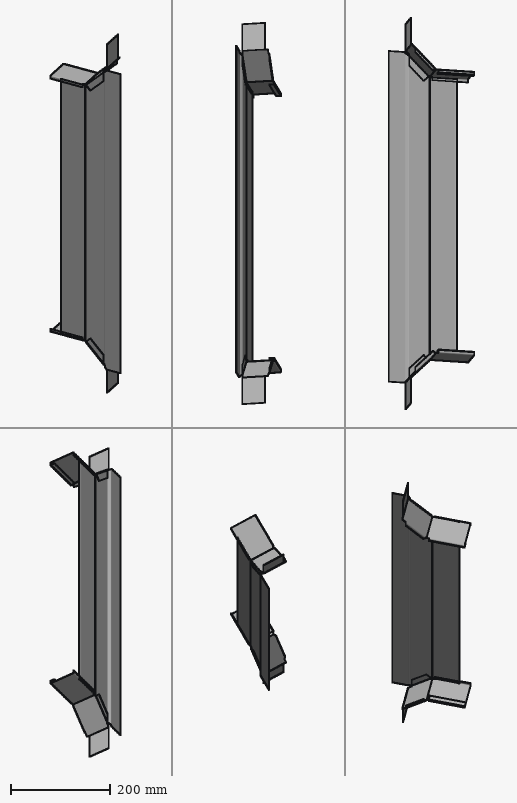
import cadquery as cq
import math

total_length = 163.29
total_depth = 61.25
total_height = 808.16

sheet = 1.25
inner_radius = 1.0
outer_radius = inner_radius + sheet
fold_angle = math.radians(45)
fold_shift = math.tan(fold_angle / 2)

bracket_front = 3.9
slope_start_x = 78.7
tab_x = 128.6
arm_z = 297.8
tab_start_z = arm_z + tab_x - slope_start_x
tab_front = 6.4
tab_rear = 53.0

arm_flange_depth = 7.5
arm_flange_length = 74.2
arm_lip_width = 10.0
front_slope_flange_depth = 16.5
rear_slope_flange_depth = arm_flange_depth
slope_flange_start = 2.0
slope_flange_end_x = 122.0

panel_front = bracket_front + sheet
jog_end_x = 128.3
jog_start_x = jog_end_x - panel_front / math.tan(fold_angle)
lip_angle = math.radians(12)
lip_fold_x = 27.2
lip_end_x = 22.8
lip_radius = 16.0
front_sheet_half_height = 347.0

crease_width = 2.0
crease_depth = 0.4
crease_start_x = 78.1


def bracket_web():
    """Folded web of the upper bracket: arm and slope at full width, then the narrower tab."""
    top = total_height / 2
    web_front = bracket_front + outer_radius
    web_rear = total_depth - outer_radius
    inner_shift = sheet * fold_shift
    arm_and_slope = (
        cq.Workplane("XZ", origin=(0, web_rear, 0))
        .moveTo(0, arm_z)
        .lineTo(slope_start_x, arm_z)
        .lineTo(tab_x, tab_start_z)
        .lineTo(tab_x + sheet, tab_start_z - inner_shift)
        .lineTo(slope_start_x + inner_shift, arm_z - sheet)
        .lineTo(0, arm_z - sheet)
        .close()
        .extrude(web_rear - web_front)
    )
    tab = (
        cq.Workplane("XZ", origin=(0, tab_rear, 0))
        .moveTo(tab_x, top)
        .lineTo(tab_x + sheet, top)
        .lineTo(tab_x + sheet, tab_start_z - inner_shift)
        .lineTo(tab_x, tab_start_z)
        .close()
        .extrude(tab_rear - tab_front)
    )
    return arm_and_slope.union(tab)


def side_flange(plane, face_y, inward, depth, run):
    """Flange with its rounded bend; face_y is its outer face, inward (+1 or -1) points to the web."""
    diagonal = math.sqrt(0.5)
    outer_mid = outer_radius * (1 - diagonal)
    inner_mid = outer_radius - inner_radius * diagonal
    return (
        cq.Workplane(plane)
        .moveTo(face_y, -depth)
        .lineTo(face_y, -outer_radius)
        .threePointArc((face_y + inward * outer_mid, -outer_mid), (face_y + inward * outer_radius, 0))
        .lineTo(face_y + inward * outer_radius, -sheet)
        .threePointArc(
            (face_y + inward * inner_mid, -inner_mid),
            (face_y + inward * sheet, -outer_radius),
        )
        .lineTo(face_y + inward * sheet, -depth)
        .close()
        .extrude(run)
    )


def arm_flanges():
    """Front and rear flanges of the arm, the rear one with a lip turned inward."""
    plane = cq.Plane(origin=(0, 0, arm_z), xDir=(0, 1, 0), normal=(1, 0, 0))
    front = side_flange(plane, bracket_front, 1, arm_flange_depth, arm_flange_length)
    rear = side_flange(plane, total_depth, -1, arm_flange_depth, arm_flange_length)
    lip = cq.Workplane("XY").box(arm_flange_length, arm_lip_width, sheet, centered=False)
    lip = lip.translate((0, total_depth - arm_lip_width, arm_z - arm_flange_depth))
    return front, rear.union(lip)


def slope_flanges():
    """Front and rear flanges of the slope, cut off upright at their upper end."""
    direction = cq.Vector(math.cos(fold_angle), 0, math.sin(fold_angle))
    origin = cq.Vector(slope_start_x, 0, arm_z) + direction * slope_flange_start
    plane = cq.Plane(origin=origin, xDir=(0, 1, 0), normal=direction)
    run = (tab_x - slope_start_x) / math.cos(fold_angle) - slope_flange_start
    front = side_flange(plane, bracket_front, 1, front_slope_flange_depth, run)
    rear = side_flange(plane, total_depth, -1, rear_slope_flange_depth, run)
    keep = cq.Workplane("XY").box(
        slope_flange_end_x, total_depth, total_height, centered=(False, False, True)
    )
    return front.intersect(keep), rear.intersect(keep)


def bracket():
    body = bracket_web()
    for flange in (*arm_flanges(), *slope_flanges()):
        body = body.union(flange)
    return body


def round_upright_edge(body, x, y, radius):
    """Round the full-height edge that stands at x, y."""
    reach = 0.1
    corner = (x - reach, y - reach, -total_height)
    opposite = (x + reach, y + reach, total_height)
    return body.edges(cq.selectors.BoxSelector(corner, opposite)).fillet(radius)


def front_sheet_strip():
    """Bent cross-section of the front sheet, extruded over its full height."""
    panel_back = panel_front + sheet
    jog_shift = sheet * fold_shift
    lip_shift = sheet * math.tan(lip_angle / 2)
    lip_end_y = panel_front + (lip_fold_x - lip_end_x) * math.tan(lip_angle)
    strip = (
        cq.Workplane("XY", origin=(0, 0, -front_sheet_half_height))
        .moveTo(lip_end_x, lip_end_y)
        .lineTo(lip_fold_x, panel_front)
        .lineTo(jog_start_x, panel_front)
        .lineTo(jog_end_x, 0)
        .lineTo(total_length, 0)
        .lineTo(total_length, sheet)
        .lineTo(jog_end_x + jog_shift, sheet)
        .lineTo(jog_start_x + jog_shift, panel_back)
        .lineTo(lip_fold_x + lip_shift, panel_back)
        .lineTo(lip_end_x + sheet * math.sin(lip_angle), lip_end_y + sheet * math.cos(lip_angle))
        .close()
        .extrude(2 * front_sheet_half_height)
    )
    bends = [
        (lip_fold_x, panel_front, lip_radius),
        (lip_fold_x + lip_shift, panel_back, lip_radius - sheet),
        (jog_start_x, panel_front, inner_radius),
        (jog_start_x + jog_shift, panel_back, outer_radius),
        (jog_end_x, 0, outer_radius),
        (jog_end_x + jog_shift, sheet, inner_radius),
    ]
    for x, y, radius in bends:
        strip = round_upright_edge(strip, x, y, radius)
    return strip


def front_sheet():
    """Front sheet trimmed to fit inside the bends of both brackets."""
    panel_top = arm_z - outer_radius
    slope_x = slope_start_x + outer_radius * fold_shift
    slope_end_x = slope_x + front_sheet_half_height - panel_top
    outline = (
        cq.Workplane("XZ")
        .moveTo(0, -panel_top)
        .lineTo(slope_x, -panel_top)
        .lineTo(slope_end_x, -front_sheet_half_height)
        .lineTo(total_length, -front_sheet_half_height)
        .lineTo(total_length, front_sheet_half_height)
        .lineTo(slope_end_x, front_sheet_half_height)
        .lineTo(slope_x, panel_top)
        .lineTo(0, panel_top)
        .close()
        .extrude(-total_depth)
    )
    crease = cq.Workplane("XY").box(crease_width, crease_depth, total_height, centered=(False, False, True))
    crease = crease.translate((crease_start_x, panel_front, 0))
    return front_sheet_strip().intersect(outline).cut(crease)


upper_bracket = bracket()
lower_bracket = upper_bracket.mirror("XY")
panel = front_sheet()

result = cq.Compound.makeCompound([panel.val(), upper_bracket.val(), lower_bracket.val()])